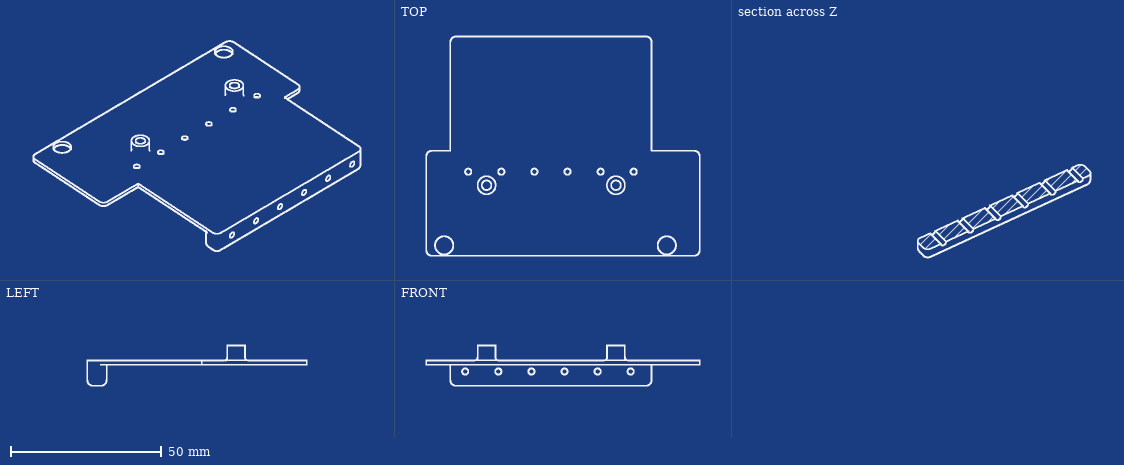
import cadquery as cq
import math

plate_width = 91.0
plate_depth = 73.0
plate_thickness = 1.5
shoulder_depth = 35.0
tongue_left = 8.0
tongue_width = 67.0
corner_radius = 2.0

lip_drop = 7.0
lip_depth = 6.5
lip_radius = 2.0

row_hole_diameter = 2.0
plate_row_first_x = 14.0
lip_row_first_x = 13.0
row_pitch = 11.0
row_count = 6
plate_row_y = 28.0
lip_row_drop = 2.2

mount_hole_diameter = 6.0
mount_hole_xs = (6.0, 80.0)
mount_hole_y = 3.5

standoff_xs = (20.1, 63.1)
standoff_y = 23.5
standoff_height = 5.0
standoff_radius = 3.0
foot_size = 2.0
bore_radius = 1.6
bore_depth = 4.0
drill_point_angle = 118.0


def row_positions(first_x):
    return [first_x + i * row_pitch for i in range(row_count)]


def make_plate():
    bottom = -plate_thickness
    wide_part = (
        cq.Workplane("XY", origin=(0, 0, bottom))
        .rect(plate_width, shoulder_depth, centered=False)
        .extrude(plate_thickness)
        .edges("|Z")
        .fillet(corner_radius)
    )
    tongue = (
        cq.Workplane("XY", origin=(tongue_left, 0, bottom))
        .rect(tongue_width, plate_depth, centered=False)
        .extrude(plate_thickness)
        .edges("|Z and >Y")
        .fillet(corner_radius)
    )
    return wide_part.union(tongue)


def make_lip():
    """Bar with rounded upright edges and a rounded underside; its top is flush with the plate."""
    height = plate_thickness + lip_drop
    return (
        cq.Workplane("XY", origin=(tongue_left, plate_depth - lip_depth, -height))
        .rect(tongue_width, lip_depth, centered=False)
        .extrude(height)
        .edges("|Z")
        .fillet(lip_radius)
        .faces("<Z")
        .edges()
        .fillet(lip_radius)
    )


def make_standoff(x):
    """Revolved post whose foot flares into the plate with no curvature at either end of the flare."""
    flare_end = (standoff_radius + foot_size, 0)
    flare_corner = (standoff_radius, 0)
    flare_start = (standoff_radius, foot_size)
    return (
        cq.Workplane("XZ", origin=(x, standoff_y, 0))
        .lineTo(*flare_end)
        .bezier([flare_end, flare_corner, flare_corner, flare_start])
        .lineTo(standoff_radius, standoff_height)
        .lineTo(0, standoff_height)
        .close()
        .revolve(360, (0, 0), (0, 1))
    )


def make_bore(x):
    point_height = bore_radius / math.tan(math.radians(drill_point_angle / 2))
    shoulder_z = standoff_height - bore_depth
    return (
        cq.Workplane("XZ", origin=(x, standoff_y, 0))
        .moveTo(0, shoulder_z - point_height)
        .lineTo(bore_radius, shoulder_z)
        .lineTo(bore_radius, standoff_height)
        .lineTo(0, standoff_height)
        .close()
        .revolve(360, (0, 0), (0, 1))
    )


def make_plate_holes(points, diameter):
    return (
        cq.Workplane("XY", origin=(0, 0, -plate_thickness))
        .pushPoints(points)
        .circle(diameter / 2)
        .extrude(plate_thickness)
    )


def make_lip_holes():
    hole_z = -plate_thickness - lip_row_drop
    return (
        cq.Workplane("XZ", origin=(0, plate_depth, 0))
        .pushPoints([(x, hole_z) for x in row_positions(lip_row_first_x)])
        .circle(row_hole_diameter / 2)
        .extrude(lip_depth)
    )


result = make_plate().union(make_lip())
for standoff_x in standoff_xs:
    result = result.union(make_standoff(standoff_x))
for standoff_x in standoff_xs:
    result = result.cut(make_bore(standoff_x))
plate_row = [(x, plate_row_y) for x in row_positions(plate_row_first_x)]
mount_points = [(x, mount_hole_y) for x in mount_hole_xs]
result = result.cut(make_plate_holes(plate_row, row_hole_diameter))
result = result.cut(make_plate_holes(mount_points, mount_hole_diameter))
result = result.cut(make_lip_holes())